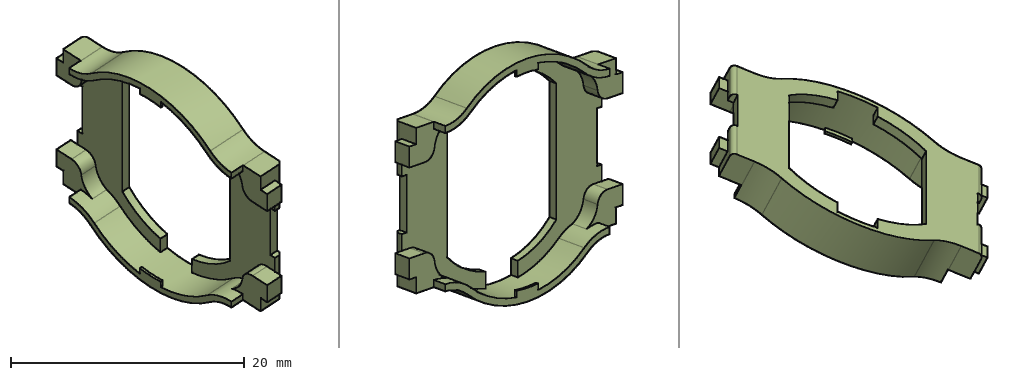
import cadquery as cq
import math

height = 22.35
depth = 4.0
ear_span = 25.4

plate_thickness = 0.85
plate_half_width = 11.9
plate_half_height = 7.6
side_notch_depth = 0.55
side_notch_half_height = 2.65
back_edge_radius = 0.45

window_radius = 9.0
window_half_width = 6.48
gap_half_width = 1.9

band_thickness = 0.67
band_half_width = 9.78
band_outer_radius = height / 2
band_inner_radius = band_outer_radius - band_thickness

tab_half_width = 1.27
tab_inner_radius = 9.9
tab_thickness = 0.25

block_depth = 2.6
block_bottom = 4.17
block_foot_radius = 1.2
block_foot_sweep = math.radians(83)
block_foot_center_x = 10.9
block_join_x = 8.4
ear_top = 6.1

flare_radius = (
    (band_half_width**2 + plate_half_height**2 - band_outer_radius**2)
    / (2 * (band_outer_radius - plate_half_height))
)
flare_center_z = plate_half_height + flare_radius
flare_inner_radius = flare_radius + band_thickness
tangent_angle = math.atan2(band_half_width, flare_center_z)


def on_main_arc(radius, angle):
    """Point on an arc about the part's centre, with the angle taken from +Z toward +X."""
    return (radius * math.sin(angle), radius * math.cos(angle))


def on_flare(radius, angle):
    """Point on the right-hand reverse arc, with the angle taken from -Z toward -X."""
    return (
        band_half_width - radius * math.sin(angle),
        flare_center_z - radius * math.cos(angle),
    )


def mirrored(point):
    return (-point[0], point[1])


def trace_band_edge(sketch, main_radius, reverse_radius):
    """Draw one band edge from the left end, over the crown, to the right end."""
    tangent_point = on_main_arc(main_radius, tangent_angle)
    flare_middle = on_flare(reverse_radius, tangent_angle / 2)
    return (
        sketch.threePointArc(mirrored(flare_middle), mirrored(tangent_point))
        .threePointArc((0, main_radius), tangent_point)
        .threePointArc(flare_middle, on_flare(reverse_radius, 0))
    )


def both_ways(solid, plane):
    return solid.union(solid.mirror(plane))


def box_between(x_range, y_range, z_range):
    return cq.Workplane("XY").box(
        x_range[1] - x_range[0],
        y_range[1] - y_range[0],
        z_range[1] - z_range[0],
        centered=False,
    ).translate((x_range[0], y_range[0], z_range[0]))


def make_plate():
    """Solid plate whose top and bottom follow the outside of the bands."""
    waist = plate_half_width - side_notch_depth
    outline = (
        cq.Workplane("XZ")
        .moveTo(-waist, 0)
        .lineTo(-waist, side_notch_half_height)
        .lineTo(-plate_half_width, side_notch_half_height)
        .lineTo(-plate_half_width, plate_half_height)
        .lineTo(-band_half_width, plate_half_height)
    )
    outline = (
        trace_band_edge(outline, band_outer_radius, flare_radius)
        .lineTo(plate_half_width, plate_half_height)
        .lineTo(plate_half_width, side_notch_half_height)
        .lineTo(waist, side_notch_half_height)
        .lineTo(waist, 0)
        .close()
    )
    return both_ways(outline.extrude(plate_thickness), "XY")


def make_window():
    """Cutter for the flat-sided opening and the gaps, which the bands close off later."""
    def full_height_strip(half_width):
        return cq.Workplane("XZ").rect(2 * half_width, height).extrude(plate_thickness)

    disc = cq.Workplane("XZ").circle(window_radius).extrude(plate_thickness)
    opening = disc.intersect(full_height_strip(window_half_width))
    return opening.union(full_height_strip(gap_half_width))


def make_top_band():
    """Full-depth curved strip of constant thickness."""
    def area_under(main_radius, reverse_radius):
        left_end = mirrored(on_flare(reverse_radius, 0))
        sketch = cq.Workplane("XZ").moveTo(*left_end)
        return (
            trace_band_edge(sketch, main_radius, reverse_radius)
            .lineTo(band_half_width, 0)
            .lineTo(-band_half_width, 0)
            .close()
            .extrude(depth)
        )

    return area_under(band_outer_radius, flare_radius).cut(
        area_under(band_inner_radius, flare_inner_radius)
    )


def make_top_tab():
    """Thin stop that hangs inward from the front edge of the band."""
    ring_radius = band_outer_radius - band_thickness / 2
    ring = cq.Workplane("XZ").circle(ring_radius).circle(tab_inner_radius).extrude(depth)
    clip = box_between(
        (-tab_half_width, tab_half_width),
        (-depth, tab_thickness - depth),
        (0, height / 2),
    )
    return ring.intersect(clip)


def make_right_block():
    """Upper right corner block, with an S-shaped inner side that runs into the band."""
    def on_foot(angle):
        """Point on the block's lower rounding, with the angle taken from -Z toward -X."""
        return (
            block_foot_center_x - block_foot_radius * math.sin(angle),
            block_bottom + block_foot_radius * (1 - math.cos(angle)),
        )

    join_angle = math.asin((band_half_width - block_join_x) / flare_inner_radius)
    return (
        cq.Workplane("XZ")
        .moveTo(plate_half_width, plate_half_height)
        .lineTo(plate_half_width, block_bottom)
        .lineTo(block_foot_center_x, block_bottom)
        .threePointArc(on_foot(block_foot_sweep / 2), on_foot(block_foot_sweep))
        .tangentArcPoint(on_flare(flare_inner_radius, join_angle), relative=False)
        .lineTo(block_join_x, plate_half_height)
        .close()
        .extrude(block_depth)
    )


def make_right_ear():
    """Ear on the outer side of the block, in front of the plate and rooted inside the block."""
    ear_root = block_foot_center_x
    return box_between(
        (ear_root, ear_span / 2),
        (-block_depth, -plate_thickness),
        (block_bottom, ear_top),
    )


def round_back_edges(body):
    """Round the back edges of the outermost side faces."""
    reach = back_edge_radius / 2
    for side in (-1, 1):
        edge_x = side * plate_half_width
        body = body.edges(
            cq.selectors.BoxSelector(
                (edge_x - reach, -reach, -height),
                (edge_x + reach, reach, height),
            )
        ).edges("|Z").fillet(back_edge_radius)
    return body


plate = make_plate().cut(make_window())
blocks = both_ways(both_ways(make_right_block(), "YZ"), "XY")
ears = both_ways(both_ways(make_right_ear(), "YZ"), "XY")
bands = both_ways(make_top_band().union(make_top_tab()), "XY")

result = round_back_edges(plate.union(blocks)).union(ears).union(bands)